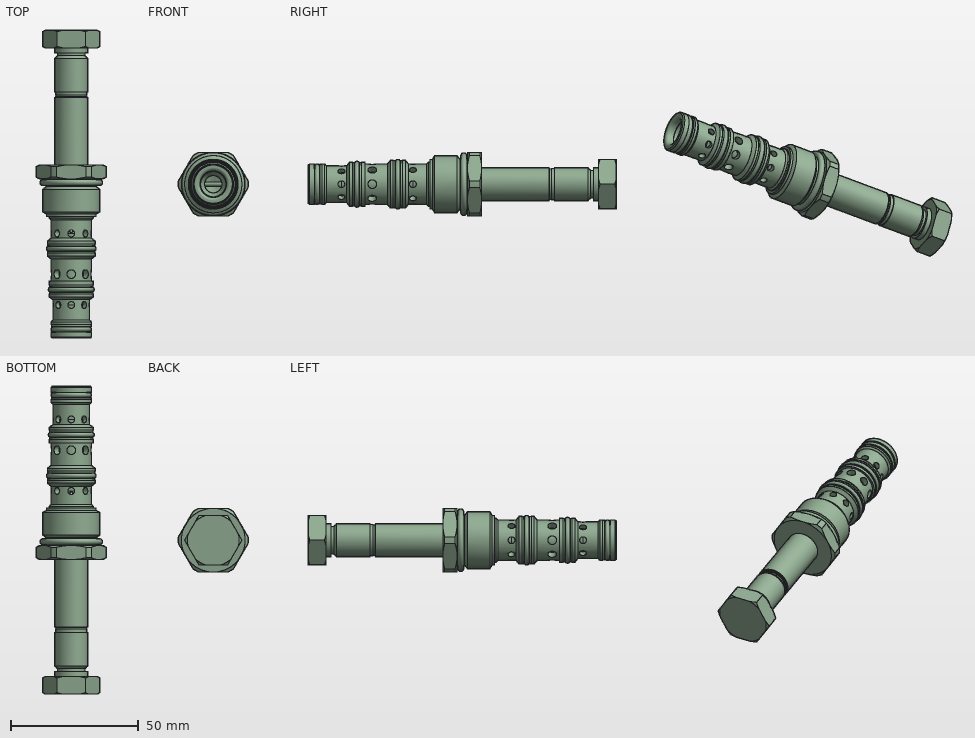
import cadquery as cq
import math

LENGTH = 120.7

CAP_FLATS = 19.4
CAP_FACE_RADIUS = 10.1
CAP_START = 113.7
FLANGE_FLATS = 25.0
FLANGE_ROUND_RADIUS = 13.8
FLANGE_START = 62.4
FLANGE_END = 68.0
HEX_BEVEL_ANGLE = 30.0

TUBE_RADIUS = 6.5
TUBE_END = 109.6
TUBE_NECK_RADIUS = 5.4
TUBE_NECK_START = 110.7
TUBE_NECK_END = 111.8
CRIMP_RADIUS = 6.2
CRIMP_START = 94.3
CRIMP_END = 96.5
CRIMP_SLIT_RADIUS = 6.0
CRIMP_SLIT_START = 94.6
CRIMP_SLIT_END = 95.2

SHANK_RADIUS = 11.2
SHANK_START = 49.5
SHANK_END = 58.3
SHANK_BEVEL = 1.1
COLLAR_RADIUS = 9.8
COLLAR_START = 47.7
COLLAR_END = 48.6
STEP_RADIUS = 8.7
STEP_START = 47.1
CAGE_TOP = 46.3
CAGE_RADIUS = 8.0
LOWER_CAGE_RADIUS = 7.2

UPPER_LAND_RADIUS = 9.4
UPPER_LAND_START = 31.0
UPPER_LAND_END = 39.2
UPPER_LAND_BEVEL = 1.2
MIDDLE_LAND_RADIUS = 8.7
MIDDLE_LAND_START = 15.1
MIDDLE_LAND_END = 22.3
MIDDLE_LAND_BEVEL = 1.1
NOSE_LAND_END = 7.1
NOSE_LAND_BEVEL = 0.7
NOSE_BEVEL = 0.5

SEAL_WIRE_RADIUS = 1.0
SEAL_GROOVE_WIDTH = 2.2
UPPER_SEAL_Y = 35.1
UPPER_SEAL_OUTER_RADIUS = 9.8
MIDDLE_SEAL_Y = 19.1
MIDDLE_SEAL_OUTER_RADIUS = 9.0
NOSE_SEAL_Y = 3.5
NOSE_SEAL_OUTER_RADIUS = CAGE_RADIUS
BACKUP_WIDTH = 0.7
BACKUP_INSET = 0.1
CUT_CLEARANCE = 1.2
SEAL_SEATING = 0.4
FLANGE_SEAL_WIRE_RADIUS = 1.2
FLANGE_SEAL_Y = 61.0
FLANGE_SEAL_OUTER_RADIUS = 12.3

PORT_ROWS = [(41.0, 1.3), (25.1, 1.7), (13.0, 1.3)]
PORTS_PER_ROW = 8
CORE_RADIUS = 5.3
CORE_RELIEF = 0.1
VENT_RADIUS = 0.6
VENT_OFFSET = 1.1

MOUTH_ROUND = 1.3
MOUTH_RADIUS = 5.2
MOUTH_DEPTH = 3.0
WIDE_BORE_RADIUS = 5.0
WIDE_BORE_END = 9.7
CONE_ANGLE = 30.0
NARROW_BORE_RADIUS = 3.4
NARROW_BORE_LENGTH = 3.6
NARROW_BORE_TIP_LENGTH = 1.0
CROSSBAR_RADIUS = 0.9
CROSSBAR_OVERLAP = 0.4

flange_neck_radius = FLANGE_SEAL_OUTER_RADIUS - 2 * FLANGE_SEAL_WIRE_RADIUS


def turned(points):
    """Revolve a closed (radius, y) outline about the Y axis."""
    return cq.Workplane("XY").polyline(points).close().revolve(360, (0, 0, 0), (0, 1, 0))


def tube(inner, outer, start, end):
    return turned([(inner, start), (outer, start), (outer, end), (inner, end)])


def ring(outer_radius, wire_radius, y):
    """Round-section ring about the Y axis, its surface seam on the inside."""
    centre_radius = outer_radius - wire_radius
    plane = cq.Workplane("XY", origin=(centre_radius, y, 0)).transformed(rotate=(0, 0, 180))
    return plane.circle(wire_radius).revolve(360, (centre_radius, 0, 0), (centre_radius, 1, 0))


def along_y(start):
    """Workplane square to the Y axis whose extrusions run toward +Y."""
    return cq.Workplane("XZ", origin=(0, start, 0)).transformed(rotate=(180, 0, 0))


def bevelled_hexagon(flats, start, end, trim_radius, bevel_start_radius):
    """Hexagon with flats facing +Z and -Z, turned to trim_radius and bevelled on both faces."""
    hexagon = along_y(start).polygon(6, flats / math.cos(math.pi / 6)).extrude(end - start)
    bevel = (trim_radius - bevel_start_radius) * math.tan(math.radians(HEX_BEVEL_ANGLE))
    envelope = turned([
        (0, start), (bevel_start_radius, start), (trim_radius, start + bevel),
        (trim_radius, end - bevel), (bevel_start_radius, end), (0, end),
    ])
    return hexagon.intersect(envelope)


def turned_body():
    return turned([
        (0, 0),
        (CAGE_RADIUS - NOSE_BEVEL, 0), (CAGE_RADIUS, NOSE_BEVEL),
        (CAGE_RADIUS, NOSE_LAND_END - NOSE_LAND_BEVEL), (LOWER_CAGE_RADIUS, NOSE_LAND_END),
        (LOWER_CAGE_RADIUS, MIDDLE_LAND_START),
        (MIDDLE_LAND_RADIUS, MIDDLE_LAND_START + MIDDLE_LAND_BEVEL),
        (MIDDLE_LAND_RADIUS, MIDDLE_LAND_END), (CAGE_RADIUS, MIDDLE_LAND_END),
        (CAGE_RADIUS, UPPER_LAND_START), (UPPER_LAND_RADIUS, UPPER_LAND_START + UPPER_LAND_BEVEL),
        (UPPER_LAND_RADIUS, UPPER_LAND_END - UPPER_LAND_BEVEL), (CAGE_RADIUS, UPPER_LAND_END),
        (CAGE_RADIUS, CAGE_TOP), (STEP_RADIUS, STEP_START),
        (STEP_RADIUS, COLLAR_START), (COLLAR_RADIUS, COLLAR_START),
        (COLLAR_RADIUS, COLLAR_END), (SHANK_RADIUS, SHANK_START),
        (SHANK_RADIUS, SHANK_END), (flange_neck_radius, SHANK_END + SHANK_BEVEL),
        (flange_neck_radius, FLANGE_START), (TUBE_RADIUS, FLANGE_START),
        (TUBE_RADIUS, CRIMP_START), (CRIMP_RADIUS, CRIMP_START),
        (CRIMP_RADIUS, CRIMP_SLIT_START), (CRIMP_SLIT_RADIUS, CRIMP_SLIT_START),
        (CRIMP_SLIT_RADIUS, CRIMP_SLIT_END), (CRIMP_RADIUS, CRIMP_SLIT_END),
        (CRIMP_RADIUS, CRIMP_END), (TUBE_RADIUS, CRIMP_END),
        (TUBE_RADIUS, TUBE_END), (TUBE_NECK_RADIUS, TUBE_NECK_START),
        (TUBE_NECK_RADIUS, TUBE_NECK_END), (TUBE_RADIUS, TUBE_NECK_END),
        (TUBE_RADIUS, CAP_START), (0, CAP_START),
    ])


def seal_groove(seal_y, floor_radius, land_radius, backup_sides):
    """Cutter for a seal groove, with a shallow step for the backup ring on each listed side."""
    clear_radius = land_radius + CUT_CLEARANCE
    half_width = SEAL_GROOVE_WIDTH / 2
    cutter = tube(floor_radius, clear_radius, seal_y - half_width, seal_y + half_width)
    for side in backup_sides:
        near = seal_y + side * half_width
        far = near + side * BACKUP_WIDTH
        cutter = cutter.union(tube(land_radius - BACKUP_INSET, clear_radius, min(near, far), max(near, far)))
    return cutter


def ports():
    """Cutter for the radial ports, which end on the round core, and for the vent."""
    rows_y = [row_y for row_y, _ in PORT_ROWS]
    reach = 2 * CAGE_RADIUS
    core = tube(0, CORE_RADIUS - CORE_RELIEF, 0, LENGTH).union(tube(0, CORE_RADIUS, min(rows_y), max(rows_y)))
    cutter = cq.Workplane("XY")
    for row_y, radius in PORT_ROWS:
        for index in range(PORTS_PER_ROW):
            port = cq.Workplane("XY", origin=(0, row_y, 0)).circle(radius).extrude(reach)
            angle = index * 360 / PORTS_PER_ROW
            cutter = cutter.add(port.rotate((0, 0, 0), (0, 1, 0), angle))
    cutter = cutter.combine().cut(core)
    vent_y = max(rows_y) + VENT_OFFSET
    vent = cq.Workplane("XY", origin=(0, vent_y, 0)).circle(VENT_RADIUS).extrude(CORE_RADIUS, both=True)
    return cutter.union(vent)


def nose_bore():
    """Cutter for the bore: rounded mouth, wide bore, cone and narrow bore, less the crossbar."""
    cone_length = (WIDE_BORE_RADIUS - NARROW_BORE_RADIUS) / math.tan(math.radians(CONE_ANGLE))
    cone_end = WIDE_BORE_END + cone_length
    bore_end = cone_end + NARROW_BORE_LENGTH
    diagonal = MOUTH_ROUND * math.sqrt(0.5)
    bore = (
        cq.Workplane("XY")
        .moveTo(0, 0)
        .lineTo(MOUTH_RADIUS + MOUTH_ROUND, 0)
        .threePointArc(
            (MOUTH_RADIUS + MOUTH_ROUND - diagonal, MOUTH_ROUND - diagonal),
            (MOUTH_RADIUS, MOUTH_ROUND),
        )
        .lineTo(MOUTH_RADIUS, MOUTH_DEPTH)
        .lineTo(WIDE_BORE_RADIUS, MOUTH_DEPTH)
        .lineTo(WIDE_BORE_RADIUS, WIDE_BORE_END)
        .lineTo(NARROW_BORE_RADIUS, cone_end)
        .lineTo(NARROW_BORE_RADIUS, bore_end)
        .lineTo(0, bore_end + NARROW_BORE_TIP_LENGTH)
        .close()
        .revolve(360, (0, 0, 0), (0, 1, 0))
    )
    crossbar_y = cone_end + CROSSBAR_RADIUS
    half_length = NARROW_BORE_RADIUS + CROSSBAR_OVERLAP
    crossbar_section = cq.Workplane("YZ").center(crossbar_y, 0).circle(CROSSBAR_RADIUS)
    crossbar = crossbar_section.extrude(half_length, both=True)
    return bore.cut(crossbar)


def valve_body():
    cap_corner_radius = CAP_FLATS / 2 / math.cos(math.pi / 6)
    cap = bevelled_hexagon(CAP_FLATS, CAP_START, LENGTH, cap_corner_radius, CAP_FACE_RADIUS)
    flange = bevelled_hexagon(
        FLANGE_FLATS, FLANGE_START, FLANGE_END, FLANGE_ROUND_RADIUS, FLANGE_FLATS / 2)
    body = turned_body().union(cap).union(flange)

    for seal_y, seal_radius, land_radius in [
        (UPPER_SEAL_Y, UPPER_SEAL_OUTER_RADIUS, UPPER_LAND_RADIUS),
        (MIDDLE_SEAL_Y, MIDDLE_SEAL_OUTER_RADIUS, MIDDLE_LAND_RADIUS),
    ]:
        floor_radius = seal_radius - 2 * SEAL_WIRE_RADIUS + SEAL_SEATING
        body = body.cut(seal_groove(seal_y, floor_radius, land_radius, (-1, 1)))
        body = body.union(ring(seal_radius, SEAL_WIRE_RADIUS, seal_y))

    nose_floor_radius = NOSE_SEAL_OUTER_RADIUS - 2 * SEAL_WIRE_RADIUS
    body = body.cut(seal_groove(NOSE_SEAL_Y, nose_floor_radius, CAGE_RADIUS, (1,)))
    return body.cut(ports()).cut(nose_bore())


cartridge = valve_body()
flange_o_ring = ring(FLANGE_SEAL_OUTER_RADIUS, FLANGE_SEAL_WIRE_RADIUS, FLANGE_SEAL_Y)
nose_o_ring = ring(NOSE_SEAL_OUTER_RADIUS, SEAL_WIRE_RADIUS, NOSE_SEAL_Y)

result = cq.Compound.makeCompound([cartridge.val(), flange_o_ring.val(), nose_o_ring.val()])